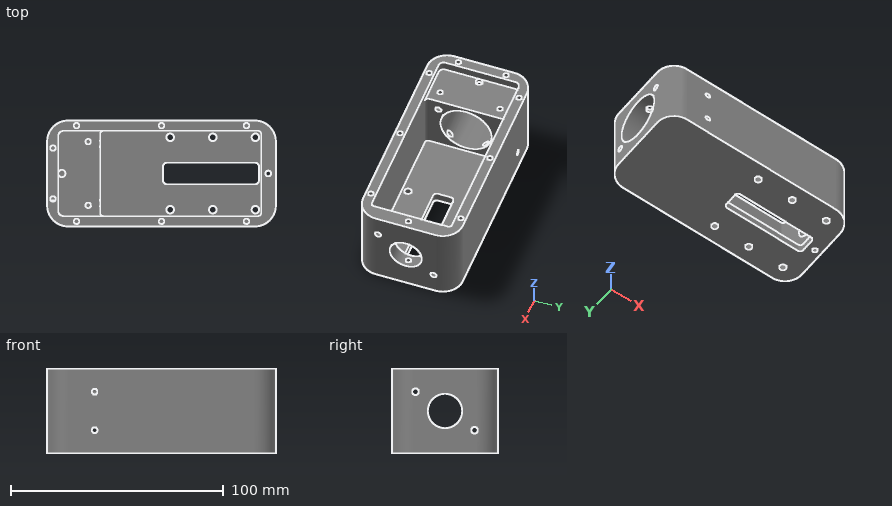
import cadquery as cq

length = 107.7
width = 50.0
height = 40.0
corner_radius = 10.0
left_end = -length / 2
right_end = length / 2
mid_height = height / 2

side_wall = 5.0
left_wall = 5.3
right_wall = 7.0
floor_thickness = 5.0
shelf_depth = 5.0
shelf_end = left_end + 25.0
shelf_corner_radius = 2.5
pocket_corner_radius = 1.5
cavity_width = width - 2 * side_wall
cavity_left = left_end + left_wall
cavity_right = right_end - right_wall

large_bore_diameter = 25.6
small_bore_diameter = 16.0
end_hole_diameter = 3.0
end_hole_y = 13.9
end_hole_z = 9.0

tapped_diameter = 2.6
clearance_diameter = 3.5
blind_depth = 10.0
rim_hole_spacing = 40.0
rim_hole_y = (width - side_wall) / 2
left_rim_hole_x = left_end + 2.8
left_rim_hole_y = 12.0
right_rim_hole_x = right_end - 3.7
shelf_hole_x = left_end + 19.4
shelf_hole_y = 15.0
port_x = cavity_left + clearance_diameter / 2
floor_hole_x = 24.1
floor_hole_spacing = 20.0
floor_hole_y = 17.0
side_hole_x = left_end + 22.4
side_hole_z = end_hole_z

window_length = 45.0
window_width = 10.0
window_radius = 1.7
window_x = 23.3


def rounded_block(x_start, x_end, block_width, radius, z_bottom, z_top):
    """Block with rounded vertical edges, centred on Y."""
    return (
        cq.Workplane("XY", origin=((x_start + x_end) / 2, 0, z_bottom))
        .rect(x_end - x_start, block_width)
        .extrude(z_top - z_bottom)
        .edges("|Z")
        .fillet(radius)
    )


def vertical_holes(points, diameter, z_top, depth):
    """Cylinders running down from z_top at the given (x, y) points."""
    return (
        cq.Workplane("XY", origin=(0, 0, z_top))
        .pushPoints(points)
        .circle(diameter / 2)
        .extrude(-depth)
    )


def lengthwise_holes(points, diameter, x_start, x_end):
    """Cylinders along X at the given (y, z) points, z measured from mid height."""
    return (
        cq.Workplane("YZ", origin=(x_start, 0, mid_height))
        .pushPoints(points)
        .circle(diameter / 2)
        .extrude(x_end - x_start)
    )


def side_hole(z, y_end):
    """Cylinder along Y from the -Y face to y_end, z measured from mid height."""
    return (
        cq.Workplane("XZ", origin=(side_hole_x, -width / 2, mid_height + z))
        .circle(tapped_diameter / 2)
        .extrude(-(y_end + width / 2))
    )


body = rounded_block(left_end, right_end, width, corner_radius, 0, height)

shelf_z = height - shelf_depth
shelf_recess = (
    cq.Workplane("XY", origin=(cavity_left, 0, shelf_z))
    .rect(shelf_end + pocket_corner_radius - cavity_left, cavity_width, centered=(False, True))
    .extrude(shelf_depth)
    .edges("|Z and <X")
    .fillet(shelf_corner_radius)
)
deep_pocket = rounded_block(
    shelf_end, cavity_right, cavity_width, pocket_corner_radius, floor_thickness, height
)
body = body.cut(shelf_recess).cut(deep_pocket)

large_bore = lengthwise_holes([(0, 0)], large_bore_diameter, left_end, shelf_end + pocket_corner_radius)
small_bore = lengthwise_holes([(0, 0)], small_bore_diameter, 0, right_end)
end_holes = lengthwise_holes(
    [(-end_hole_y, end_hole_z), (end_hole_y, -end_hole_z)], end_hole_diameter, left_end, right_end
)
body = body.cut(large_bore).cut(small_bore).cut(end_holes)

rim_points = [(i * rim_hole_spacing, side * rim_hole_y) for i in (-1, 0, 1) for side in (-1, 1)]
rim_points += [(left_rim_hole_x, side * left_rim_hole_y) for side in (-1, 1)]
body = body.cut(vertical_holes(rim_points, tapped_diameter, height, blind_depth))
body = body.cut(vertical_holes([(right_rim_hole_x, 0)], tapped_diameter, height, height))

shelf_points = [(shelf_hole_x, side * shelf_hole_y) for side in (-1, 1)]
body = body.cut(vertical_holes(shelf_points, tapped_diameter, shelf_z, blind_depth))
body = body.cut(vertical_holes([(port_x, 0)], clearance_diameter, shelf_z, shelf_z - mid_height))

floor_points = [
    (floor_hole_x + i * floor_hole_spacing, side * floor_hole_y) for i in (-1, 0, 1) for side in (-1, 1)
]
body = body.cut(vertical_holes(floor_points, clearance_diameter, floor_thickness, floor_thickness))
window = rounded_block(
    window_x - window_length / 2,
    window_x + window_length / 2,
    window_width,
    window_radius,
    0,
    floor_thickness,
)
body = body.cut(window)

body = body.cut(side_hole(side_hole_z, -end_hole_y)).cut(side_hole(-side_hole_z, width / 2))

result = body